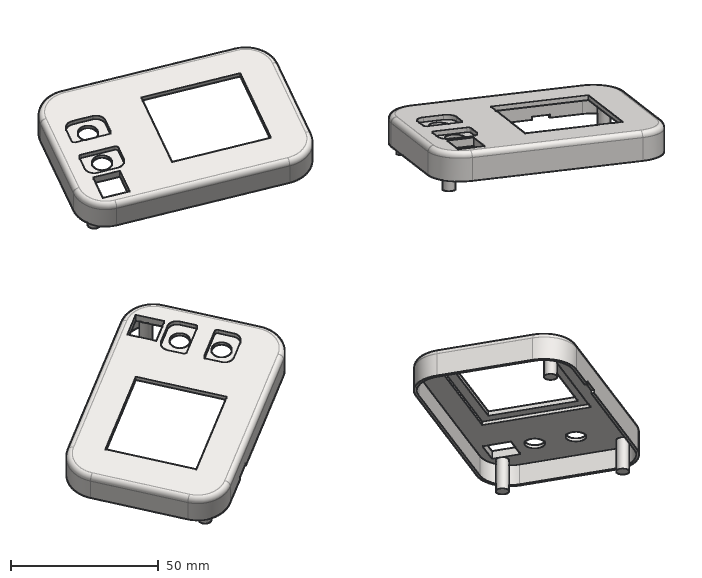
import cadquery as cq

length = 85.1
width = 57.6
pin_drop = 4.4
height = 14.9 - pin_drop
corner_radius = 11.6
top_fillet = 2.0
wall = 1.0
top_thickness = 3.0
ceiling = height - top_thickness

window_width = 32.2
window_length = 35.4
window_y = 11.0
window_lip = 1.7
display_margin = 3.4

buttons_x = -0.2
buttons_y = -28.8
button_hole_offset = 7.4
button_hole_diameter = 7.0
recess_inner_offset = 3.1
recess_width = 9.9
recess_length = 14.0
recess_depth = 1.7
recess_outer_radius = 3.4
recess_inner_radius = 1.0

opening_width = 10.2
opening_length = 9.6
opening_x = 19.5
opening_y = -29.6

pin_diameter = 4.5
pin_x = 21.6
pin_y = 36.6

notch_length = 6.55
notch_height = 1.1
notch_y = 16.1


def box(size_x, size_y, size_z, x, y, z):
    """Box centred on (x, y) with its base at height z."""
    return cq.Workplane("XY").box(size_x, size_y, size_z, centered=(True, True, False)).translate((x, y, z))


def make_shell():
    outer = box(width, length, height, 0, 0, 0).edges("|Z").fillet(corner_radius)
    outer = outer.faces(">Z").edges().fillet(top_fillet)
    cavity = box(width - 2 * wall, length - 2 * wall, ceiling, 0, 0, 0)
    return outer.cut(cavity.edges("|Z").fillet(corner_radius - wall))


def make_pins():
    return (
        cq.Workplane("XY")
        .workplane(offset=-pin_drop)
        .pushPoints([(-pin_x, -pin_y), (pin_x, -pin_y), (-pin_x, pin_y)])
        .circle(pin_diameter / 2)
        .extrude(pin_drop + ceiling)
    )


def make_window():
    through = box(window_width, window_length, top_thickness, 0, window_y, ceiling)
    display_pocket = box(
        window_width + 2 * display_margin,
        window_length + 2 * display_margin,
        top_thickness - window_lip,
        0,
        window_y,
        ceiling,
    )
    return through.union(display_pocket)


def make_button_cut(side):
    """Recess and button hole; side is -1 for the left button and 1 for the right."""
    recess_x = buttons_x + side * (recess_inner_offset + recess_width / 2)
    recess = box(recess_width, recess_length, recess_depth, recess_x, buttons_y, height - recess_depth)
    outer_side, inner_side = (">X", "<X") if side > 0 else ("<X", ">X")
    recess = recess.faces(outer_side).edges("|Z").fillet(recess_outer_radius)
    recess = recess.faces(inner_side).edges("|Z").fillet(recess_inner_radius)
    hole = (
        cq.Workplane("XY")
        .center(buttons_x + side * button_hole_offset, buttons_y)
        .workplane(offset=ceiling)
        .circle(button_hole_diameter / 2)
        .extrude(top_thickness)
    )
    return recess.union(hole)


result = make_shell().union(make_pins()).cut(make_window())
for button_side in (-1, 1):
    result = result.cut(make_button_cut(button_side))
result = result.cut(box(opening_width, opening_length, top_thickness, opening_x, opening_y, ceiling))
result = result.cut(box(2 * wall, notch_length, notch_height, -width / 2, notch_y, 0))